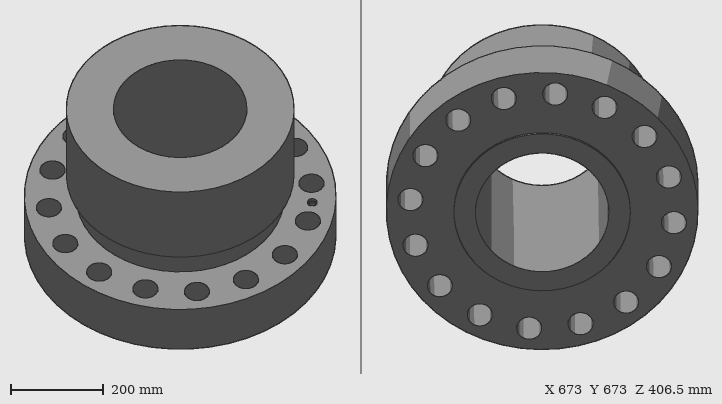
import cadquery as cq

flange_diameter = 673.0
flange_thickness = 126.0
raised_face_diameter = 381.0
raised_face_height = 6.0

neck_diameter = 451.0
neck_length = 56.5
barrel_diameter = 492.0
flare_height = 12.0
total_height = 406.5

bore_diameter = 288.0
bolt_hole_diameter = 54.0
bolt_circle_diameter = 571.0
bolt_hole_count = 16

port_mouth_diameter = 21.0
port_mouth_depth = 7.0
port_seat_diameter = 16.0
port_seat_depth = 13.5
port_drill_diameter = 7.5
port_drill_depth = 40.5
port_angle = 180 / bolt_hole_count

flange_bottom = raised_face_height
flange_top = flange_bottom + flange_thickness
neck_top = flange_top + neck_length
barrel_bottom = neck_top + flare_height


def revolved_body():
    """Solid body of revolution: raised face, flange, neck, flare and barrel."""
    profile = [
        (0, 0),
        (raised_face_diameter / 2, 0),
        (raised_face_diameter / 2, flange_bottom),
        (flange_diameter / 2, flange_bottom),
        (flange_diameter / 2, flange_top),
        (neck_diameter / 2, flange_top),
        (neck_diameter / 2, neck_top),
        (barrel_diameter / 2, barrel_bottom),
        (barrel_diameter / 2, total_height),
        (0, total_height),
    ]
    return cq.Workplane("XZ").polyline(profile).close().revolve(360, (0, 0, 0), (0, 1, 0))


def central_bore():
    """Cylinder that opens the part along its whole axis."""
    return cq.Workplane("XY").circle(bore_diameter / 2).extrude(total_height)


def bolt_holes():
    """Ring of cylinders through the flange, the first one on the +X axis."""
    return (
        cq.Workplane("XY")
        .polarArray(bolt_circle_diameter / 2, 0, 360, bolt_hole_count)
        .circle(bolt_hole_diameter / 2)
        .extrude(flange_top)
    )


def stepped_port():
    """Three coaxial cylinders sunk into the flange top, narrower as they go deeper."""
    steps = [
        (port_mouth_diameter, port_mouth_depth),
        (port_seat_diameter, port_seat_depth),
        (port_drill_diameter, port_drill_depth),
    ]
    port = cq.Workplane("XY")
    for diameter, depth in steps:
        port = port.union(
            cq.Workplane("XY", origin=(bolt_circle_diameter / 2, 0, flange_top))
            .circle(diameter / 2)
            .extrude(-depth)
        )
    return port.rotate((0, 0, 0), (0, 0, 1), port_angle)


result = revolved_body().cut(central_bore()).cut(bolt_holes()).cut(stepped_port())